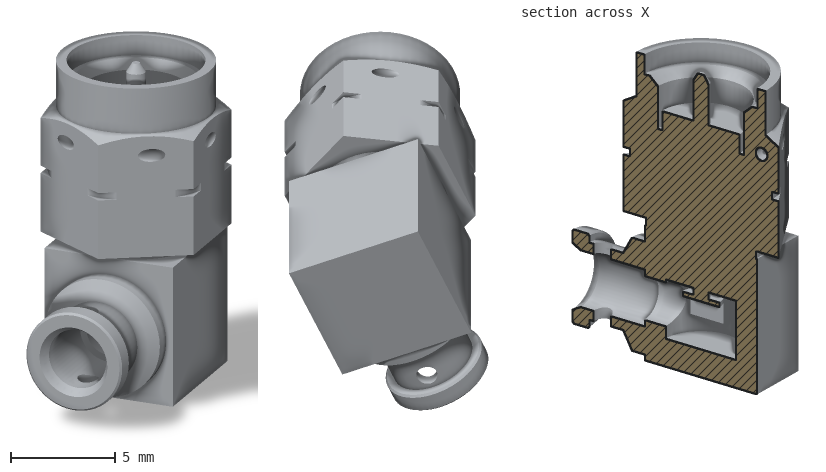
import cadquery as cq
import math


BODY_SIDE = 6.7
BODY_HEIGHT = 7.15
NECK_DIA = 6.6

NUT_BOTTOM = 7.54
HEX_TOP = 13.83
NUT_TOP = 16.15
HEX_SIDES = 6
HEX_ACROSS_FLATS = 8.0
HEX_CIRCUMRADIUS = HEX_ACROSS_FLATS / math.sqrt(3)
COLLAR_DIA = 7.7
HEX_CHAMFER_ANGLE = 30.0

WIRE_HOLE_DIA = 0.66
WIRE_HOLE_OFFSET = 3.6
WIRE_HOLE_Z = 12.75
WIRE_HOLE_COUNT = HEX_SIDES // 2

NOTCH_FLOOR_DIA = 8.5
NOTCH_BOTTOM = 10.55
NOTCH_HEIGHT = 0.38

MOUTH_DIA = 6.68
MOUTH_DEPTH = 1.03
LEAD_IN_DIA = 6.11
LEAD_IN_DEPTH = 0.44
NUT_BORE_DIA = 5.1
CORE_DIA = 4.63
CORE_TOP = 13.45
CORE_GAP_DEPTH = 1.0

PIN_DIA = 0.94
PIN_TIP_DIA = 0.37
PIN_TOP = 16.02
PIN_TAPER = 0.45

PORT_Z = 3.3
PORT_END_Y = -7.65
FLANGE_DIA = 6.0
FLANGE_LENGTH = 0.76
FLANGE_TAPER = 0.53
PORT_NECK_DIA = 4.1
RIM_DIA = 5.0
RIM_LENGTH = 1.02
RIM_CHAMFER = 0.1
CROSS_HOLE_DIA = 1.02
CROSS_HOLE_Y = -5.87

PORT_BORE_DIA = 2.98
PORT_BORE_MOUTH_DIA = 3.54
PORT_BORE_MOUTH_DEPTH = 0.5
PORT_BORE_END_Y = -BODY_SIDE / 2
CAVITY_WINDOW_DIA = 2.3

CAVITY_DIA = 4.15
CAVITY_BOTTOM = 1.5
CAVITY_TOP = 4.6
CONTACT_DIA = 2.2
CONTACT_TOP = 4.26
CONTACT_BOTTOM = 2.9
SLOT_WIDTH = 1.02
SLOT_DEPTH = 1.1


def cylinder(diameter, bottom, top):
    """Upright cylinder on the Z axis."""
    return cq.Workplane("XY").workplane(offset=bottom).circle(diameter / 2).extrude(top - bottom)


def port_cylinder(diameter, start_y, end_y):
    """Cylinder on the port axis, from start_y outwards to end_y."""
    plane = cq.Plane(origin=(0, start_y, PORT_Z), xDir=(1, 0, 0), normal=(0, -1, 0))
    return cq.Workplane(plane).circle(diameter / 2).extrude(start_y - end_y)


def revolve_about_z(profile):
    """Solid of revolution from (radius, z) points."""
    return cq.Workplane("XZ").polyline(profile).close().revolve(360, (0, 0, 0), (0, 1, 0))


def revolve_about_port(profile):
    """Solid of revolution about the port axis from (radius, y) points."""
    plane = cq.Workplane("XY").workplane(offset=PORT_Z)
    return plane.polyline(profile).close().revolve(360, (0, 0, 0), (0, 1, 0))


def make_body():
    block = cq.Workplane("XY").box(BODY_SIDE, BODY_SIDE, BODY_HEIGHT, centered=(True, True, False))
    return block.union(cylinder(NECK_DIA, BODY_HEIGHT, NUT_BOTTOM))


def make_hex():
    """Hex with two corners on the Y axis and its top corners turned off at an angle."""
    height = HEX_TOP - NUT_BOTTOM
    prism = (
        cq.Workplane("XY")
        .workplane(offset=NUT_BOTTOM)
        .polygon(HEX_SIDES, 2 * HEX_CIRCUMRADIUS)
        .extrude(height)
        .rotate((0, 0, 0), (0, 0, 1), 180 / HEX_SIDES)
    )
    collar_radius = COLLAR_DIA / 2
    drop = (HEX_CIRCUMRADIUS - collar_radius) * math.tan(math.radians(HEX_CHAMFER_ANGLE))
    turned_envelope = revolve_about_z([
        (0, NUT_BOTTOM),
        (HEX_CIRCUMRADIUS, NUT_BOTTOM),
        (HEX_CIRCUMRADIUS, HEX_TOP - drop),
        (collar_radius, HEX_TOP),
        (0, HEX_TOP),
    ])
    return prism.intersect(turned_envelope)


def make_wire_holes():
    hole = (
        cq.Workplane("YZ")
        .center(WIRE_HOLE_OFFSET, WIRE_HOLE_Z)
        .circle(WIRE_HOLE_DIA / 2)
        .extrude(HEX_CIRCUMRADIUS, both=True)
    )
    holes = cq.Workplane("XY")
    for index in range(WIRE_HOLE_COUNT):
        angle = index * 360 / WIRE_HOLE_COUNT
        holes = holes.add(hole.rotate((0, 0, 0), (0, 0, 1), angle))
    return holes.combine()


def make_notch_ring():
    top = NOTCH_BOTTOM + NOTCH_HEIGHT
    outer = cylinder(2 * HEX_ACROSS_FLATS, NOTCH_BOTTOM, top)
    return outer.cut(cylinder(NOTCH_FLOOR_DIA, NOTCH_BOTTOM, top))


def make_mating_cavity():
    """Stepped opening of the nut, leaving the solid core standing in it."""
    mouth_floor = NUT_TOP - MOUTH_DEPTH
    lead_in_floor = mouth_floor - LEAD_IN_DEPTH
    gap_floor = CORE_TOP - CORE_GAP_DEPTH
    return revolve_about_z([
        (0, NUT_TOP),
        (MOUTH_DIA / 2, NUT_TOP),
        (MOUTH_DIA / 2, mouth_floor),
        (LEAD_IN_DIA / 2, mouth_floor),
        (NUT_BORE_DIA / 2, lead_in_floor),
        (NUT_BORE_DIA / 2, gap_floor),
        (CORE_DIA / 2, gap_floor),
        (CORE_DIA / 2, CORE_TOP),
        (0, CORE_TOP),
    ])


def make_pin():
    return revolve_about_z([
        (0, CORE_TOP),
        (PIN_DIA / 2, CORE_TOP),
        (PIN_DIA / 2, PIN_TOP - PIN_TAPER),
        (PIN_TIP_DIA / 2, PIN_TOP),
        (0, PIN_TOP),
    ])


def make_nut():
    nut = make_hex().union(cylinder(COLLAR_DIA, HEX_TOP, NUT_TOP))
    nut = nut.cut(make_wire_holes()).cut(make_notch_ring())
    return nut.cut(make_mating_cavity()).union(make_pin())


def make_port():
    body_face = -BODY_SIDE / 2
    flange_end = body_face - FLANGE_LENGTH
    taper_end = flange_end - FLANGE_TAPER
    rim_start = PORT_END_Y + RIM_LENGTH
    rim_radius = RIM_DIA / 2
    return revolve_about_port([
        (0, body_face),
        (FLANGE_DIA / 2, body_face),
        (FLANGE_DIA / 2, flange_end),
        (PORT_NECK_DIA / 2, taper_end),
        (PORT_NECK_DIA / 2, rim_start),
        (rim_radius - RIM_CHAMFER, rim_start),
        (rim_radius, rim_start - RIM_CHAMFER),
        (rim_radius, PORT_END_Y + RIM_CHAMFER),
        (rim_radius - RIM_CHAMFER, PORT_END_Y),
        (0, PORT_END_Y),
    ])


def make_port_bore():
    mouth_end = PORT_END_Y + PORT_BORE_MOUTH_DEPTH
    bore = revolve_about_port([
        (0, PORT_END_Y),
        (PORT_BORE_MOUTH_DIA / 2, PORT_END_Y),
        (PORT_BORE_DIA / 2, mouth_end),
        (PORT_BORE_DIA / 2, PORT_BORE_END_Y),
        (0, PORT_BORE_END_Y),
    ])
    return bore.union(port_cylinder(CAVITY_WINDOW_DIA, 0, PORT_BORE_END_Y))


def make_cross_hole():
    """Vertical hole through both walls of the port neck."""
    half_length = PORT_NECK_DIA / 2
    hole = cylinder(CROSS_HOLE_DIA, PORT_Z - half_length, PORT_Z + half_length)
    return hole.translate((0, CROSS_HOLE_Y, 0))


def make_contact():
    """Contact hanging from the centre pin in the cavity, slotted along Y at its lower end."""
    contact = cylinder(CONTACT_DIA, CONTACT_BOTTOM, CONTACT_TOP)
    slot = (
        cq.Workplane("XY")
        .workplane(offset=CONTACT_BOTTOM)
        .rect(SLOT_WIDTH, 2 * CONTACT_DIA)
        .extrude(SLOT_DEPTH)
    )
    return contact.cut(slot).union(cylinder(PIN_DIA, CONTACT_TOP, CAVITY_TOP))


connector = make_body().union(make_nut()).union(make_port())
connector = connector.cut(make_port_bore()).cut(make_cross_hole())
connector = connector.cut(cylinder(CAVITY_DIA, CAVITY_BOTTOM, CAVITY_TOP))
result = connector.union(make_contact())